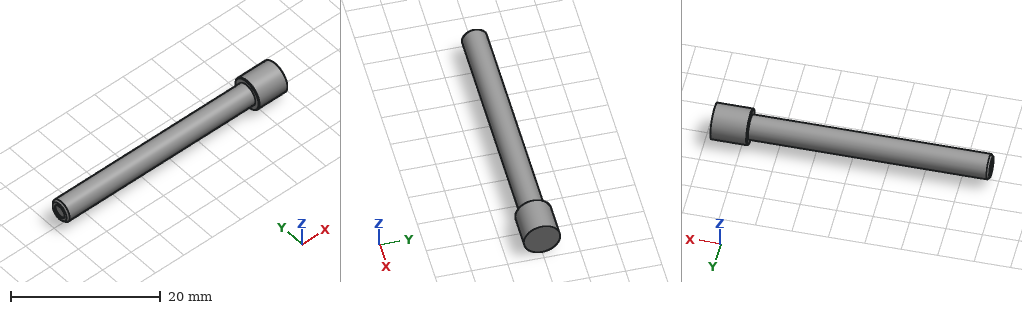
import cadquery as cq

TOTAL_LENGTH = 38.0
HEAD_DIAMETER = 5.0
HEAD_LENGTH = 5.0
SHANK_DIAMETER = 3.5

TIP_CHAMFER = 0.3
HEAD_CHAMFER = 0.1

RECESS_DIAMETER = 2.0
RECESS_DEPTH = 0.2

TIP_X = -TOTAL_LENGTH / 2
SHANK_LENGTH = TOTAL_LENGTH - HEAD_LENGTH


def cylinder_along_x(start_x, diameter, length):
    """Solid cylinder centred on the X axis, growing toward +X from start_x."""
    return cq.Workplane("YZ", origin=(start_x, 0, 0)).circle(diameter / 2).extrude(length)


shank = cylinder_along_x(TIP_X, SHANK_DIAMETER, SHANK_LENGTH)
shank = shank.faces("<X").edges().chamfer(TIP_CHAMFER)

head = cylinder_along_x(TIP_X + SHANK_LENGTH, HEAD_DIAMETER, HEAD_LENGTH)
head = head.faces("<X").edges().chamfer(HEAD_CHAMFER)

recess = cylinder_along_x(TIP_X, RECESS_DIAMETER, RECESS_DEPTH)

result = shank.union(head).cut(recess)